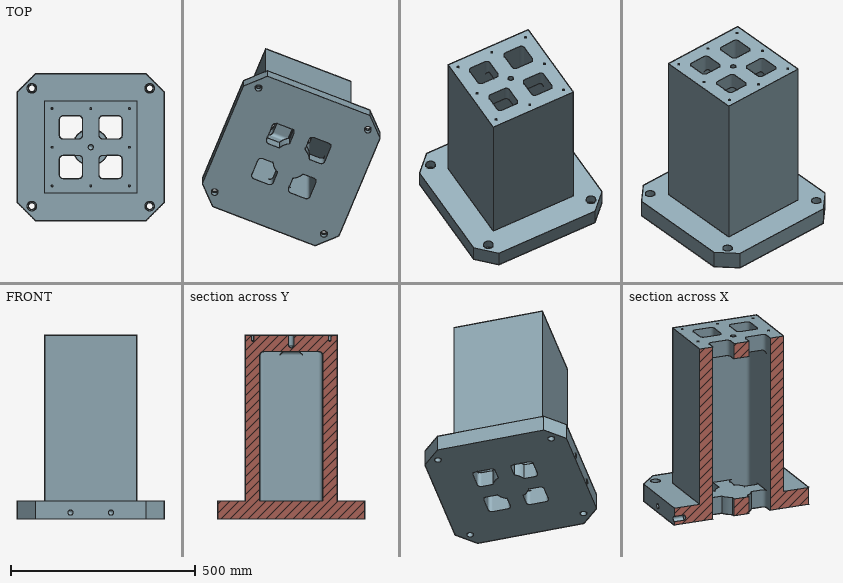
import cadquery as cq
import math

base_side = 400.0
base_height = 50.0
base_corner_cut = 50.0

total_height = 500.0
tower_side = 250.0
tower_wall = 40.0
top_plate_thickness = 45.0
window_grid_side = tower_side - 2 * tower_wall
chamber_height = total_height - top_plate_thickness - base_height

web_width = 45.0
window_side = (window_grid_side - web_width) / 2
window_offset = (window_side + web_width) / 2
inner_corner_radius = 10.0
hub_diameter = 99.0

mount_offset = 160.0
mount_diameter = 18.0
mount_bore_diameter = 26.0
mount_bore_depth = 26.0

drill_tip_angle = 118.0
pin_hole_offset = 105.0
pin_hole_diameter = 5.0
pin_hole_depth = 15.0
center_hole_diameter = 14.0
center_hole_depth = 30.0
side_hole_diameter = 14.0
side_hole_depth = 30.0
side_hole_offset = 55.0
side_hole_height = 18.0


def square_block(side, height, bottom, corner_radius=0.0):
    """Square block centred on Z, with optional rounded vertical edges."""
    block = cq.Workplane("XY").workplane(offset=bottom).rect(side, side).extrude(height)
    if corner_radius:
        block = block.edges("|Z").fillet(corner_radius)
    return block


def window_cutter(height, bottom):
    """Four rounded square prisms, one in each quadrant."""
    window = square_block(window_side, height, bottom, inner_corner_radius)
    cutter = cq.Workplane("XY")
    for x in (-window_offset, window_offset):
        for y in (-window_offset, window_offset):
            cutter = cutter.add(window.translate((x, y, 0)))
    return cutter.combine()


def drill(mouth, direction, diameter, depth):
    """Blind hole of the given full-diameter depth with a conical tip."""
    radius = diameter / 2
    tip_length = radius / math.tan(math.radians(drill_tip_angle / 2))
    start = cq.Vector(*mouth)
    axis = cq.Vector(*direction)
    shank = cq.Solid.makeCylinder(radius, depth, start, axis)
    tip = cq.Solid.makeCone(radius, 0, tip_length, start + axis * depth, axis)
    return shank.fuse(tip)


def make_body():
    """Square base with cut corners carrying the square tower."""
    base = square_block(base_side, base_height, 0).edges("|Z").chamfer(base_corner_cut)
    tower = square_block(tower_side, total_height - base_height, base_height)
    return base.union(tower)


def cut_interior(body):
    """Windows through the full height, joined by a hollow chamber above the base hub."""
    windows = window_cutter(total_height, 0)
    chamber = square_block(window_grid_side, chamber_height, base_height, inner_corner_radius)
    chamber = chamber.faces(">Z").edges().fillet(inner_corner_radius)
    hub = cq.Workplane("XY").circle(hub_diameter / 2).extrude(base_height)
    return body.cut(windows).cut(chamber).union(hub)


def cut_mounting_holes(body):
    """Through holes at the base corners, counterbored from above."""
    base_top = cq.Workplane("XY").workplane(offset=base_height)
    places = base_top.rect(2 * mount_offset, 2 * mount_offset, forConstruction=True).vertices()
    holes = places.circle(mount_diameter / 2).extrude(-base_height)
    bores = places.circle(mount_bore_diameter / 2).extrude(-mount_bore_depth)
    return body.cut(holes).cut(bores)


def cut_top_holes(body):
    """Central hole ringed by eight pin holes on a square grid."""
    down = (0, 0, -1)
    steps = (-pin_hole_offset, 0, pin_hole_offset)
    for x in steps:
        for y in steps:
            mouth = (x, y, total_height)
            if x == 0 and y == 0:
                body = body.cut(drill(mouth, down, center_hole_diameter, center_hole_depth))
            else:
                body = body.cut(drill(mouth, down, pin_hole_diameter, pin_hole_depth))
    return body


def cut_side_holes(body):
    """Pair of drilled holes in the -Y edge of the base."""
    for x in (-side_hole_offset, side_hole_offset):
        mouth = (x, -base_side / 2, side_hole_height)
        body = body.cut(drill(mouth, (0, 1, 0), side_hole_diameter, side_hole_depth))
    return body


result = make_body()
result = cut_interior(result)
result = cut_mounting_holes(result)
result = cut_top_holes(result)
result = cut_side_holes(result)